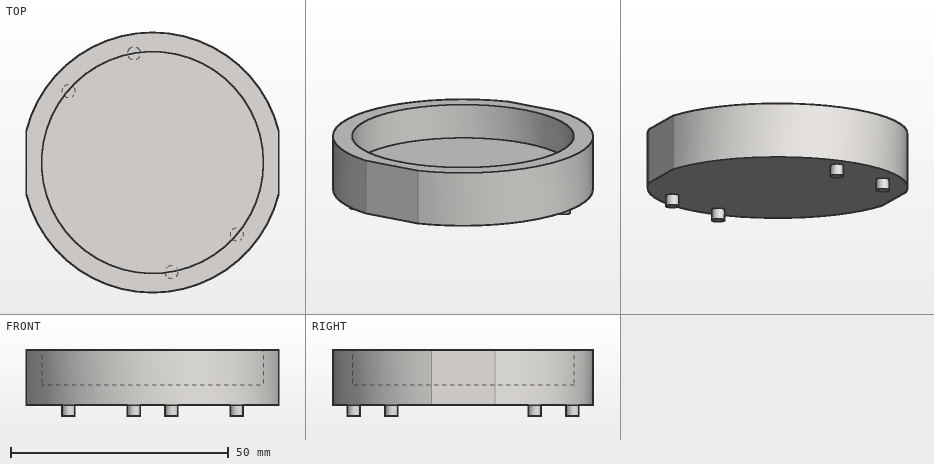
import cadquery as cq

body_diameter = 59.75
width_across_flats = 58.0
body_height = 12.7

pocket_diameter = 50.9
pocket_depth = 7.95

pin_diameter = 3.0
pin_length = 2.5
pair_centres = [(-19.3, 16.45), (-4.3, 25.1)]


def make_body():
    disc = cq.Workplane("XY").circle(body_diameter / 2).extrude(body_height)
    flats = cq.Workplane("XY").rect(width_across_flats, body_diameter).extrude(body_height)
    return disc.intersect(flats)


def make_pocket():
    return (
        cq.Workplane("XY", origin=(0, 0, body_height))
        .circle(pocket_diameter / 2)
        .extrude(-pocket_depth)
    )


def make_pins():
    opposite_centres = [(-x, -y) for x, y in pair_centres]
    return (
        cq.Workplane("XY")
        .pushPoints(pair_centres + opposite_centres)
        .circle(pin_diameter / 2)
        .extrude(-pin_length)
    )


result = make_body().cut(make_pocket()).union(make_pins())